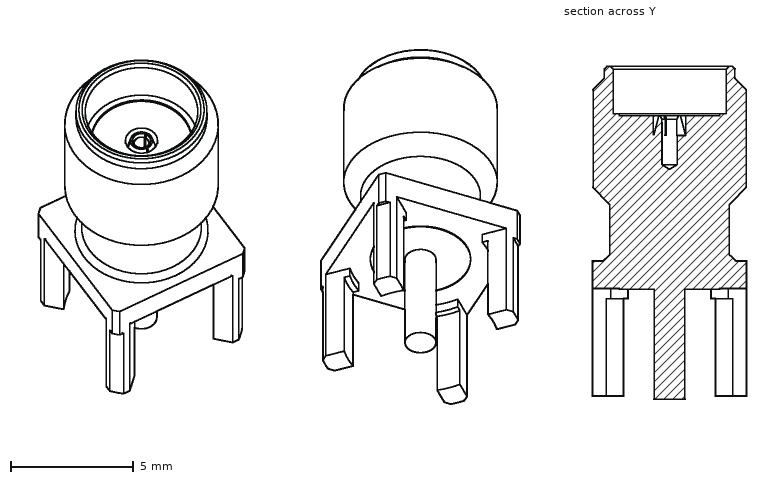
import cadquery as cq

TOTAL_HEIGHT = 13.62
LEG_BOTTOM_Z = 0.13
LEG_STEP_Z = 4.12
DISC_BOTTOM_Z = 4.49
PLATE_BOTTOM_Z = 4.53
PLATE_TOP_Z = 5.66

PLATE_SIZE = 6.31
PLATE_CORNER_RADIUS = 4.305
LEG_OUTER_RADIUS = 4.183
LEG_ROOT_INNER_RADIUS = 2.94
LEG_INNER_RADIUS = 3.19
LEG_WIDTH = 1.0

FOOT_RADIUS = 2.72
FOOT_HEIGHT = 0.26
NECK_RADIUS = 2.45
SLEEVE_RADIUS = 3.14
SLEEVE_CONE_BOTTOM_Z = 7.95
SLEEVE_BOTTOM_Z = 8.66
SLEEVE_TOP_Z = 12.66
LIP_RADIUS = 2.68
LIP_BOTTOM_Z = SLEEVE_TOP_Z + SLEEVE_RADIUS - LIP_RADIUS
LIP_CHAMFER = 0.12

BORE_RADIUS = 2.3
BORE_CHAMFER = 0.13
SEAT_Z = TOTAL_HEIGHT - 1.94
DIELECTRIC_RADIUS = 2.05
DIELECTRIC_Z = TOTAL_HEIGHT - 2.03

PIN_RADIUS = 0.635
CONTACT_RADIUS = 0.655
TIP_RADIUS = 0.45
TIP_TAPER_HEIGHT = 0.8
CONTACT_BORE_RADIUS = 0.30
CONTACT_BORE_DEPTH = 2.0
CONTACT_MOUTH_RADIUS = 0.37
CONTACT_MOUTH_DEPTH = 0.15
DRILL_TIP_HEIGHT = 0.18
SLOT_WIDTH = 0.06
SLOT_COUNT = 3


def cylinder(radius, bottom_z, top_z):
    return cq.Workplane("XY").workplane(offset=bottom_z).circle(radius).extrude(top_z - bottom_z)


def box(length, width, bottom_z, top_z):
    return cq.Workplane("XY").workplane(offset=bottom_z).rect(length, width).extrude(top_z - bottom_z)


def revolve_profile(points):
    """Turn a closed (radius, height) outline about the Z axis."""
    return cq.Workplane("XZ").polyline(points).close().revolve(360, (0, 0, 0), (0, 1, 0))


def make_base():
    """Square plate with corners turned round, standing on four diagonal legs."""
    plate = box(PLATE_SIZE, PLATE_SIZE, PLATE_BOTTOM_Z, PLATE_TOP_Z)
    roots = cylinder(PLATE_CORNER_RADIUS, LEG_STEP_Z, PLATE_BOTTOM_Z).cut(
        cylinder(LEG_ROOT_INNER_RADIUS, LEG_STEP_Z, PLATE_BOTTOM_Z)
    )
    shanks = cylinder(LEG_OUTER_RADIUS, LEG_BOTTOM_Z, LEG_STEP_Z).cut(
        cylinder(LEG_INNER_RADIUS, LEG_BOTTOM_Z, LEG_STEP_Z)
    )
    diagonal_length = 2 * PLATE_SIZE
    bar = box(diagonal_length, LEG_WIDTH, LEG_BOTTOM_Z, PLATE_BOTTOM_Z)
    diagonals = bar.rotate((0, 0, 0), (0, 0, 1), 45).union(bar.rotate((0, 0, 0), (0, 0, 1), -45))
    square = box(PLATE_SIZE, PLATE_SIZE, LEG_BOTTOM_Z, PLATE_BOTTOM_Z)
    legs = roots.union(shanks).intersect(diagonals).intersect(square)
    plate = plate.intersect(cylinder(PLATE_CORNER_RADIUS, PLATE_BOTTOM_Z, PLATE_TOP_Z))
    return plate.union(legs)


def make_barrel():
    """Turned barrel with its socket, closed by the dielectric face."""
    return revolve_profile([
        (0, PLATE_TOP_Z),
        (FOOT_RADIUS, PLATE_TOP_Z),
        (NECK_RADIUS, PLATE_TOP_Z + FOOT_HEIGHT),
        (NECK_RADIUS, SLEEVE_CONE_BOTTOM_Z),
        (SLEEVE_RADIUS, SLEEVE_BOTTOM_Z),
        (SLEEVE_RADIUS, SLEEVE_TOP_Z),
        (LIP_RADIUS, LIP_BOTTOM_Z),
        (LIP_RADIUS, TOTAL_HEIGHT - LIP_CHAMFER),
        (LIP_RADIUS - LIP_CHAMFER, TOTAL_HEIGHT),
        (BORE_RADIUS + BORE_CHAMFER, TOTAL_HEIGHT),
        (BORE_RADIUS, TOTAL_HEIGHT - BORE_CHAMFER),
        (BORE_RADIUS, SEAT_Z),
        (DIELECTRIC_RADIUS, SEAT_Z),
        (DIELECTRIC_RADIUS, DIELECTRIC_Z),
        (0, DIELECTRIC_Z),
    ])


def make_tip_clearance():
    """Space between the tapered contact tip and the hole in the dielectric."""
    return revolve_profile([
        (TIP_RADIUS, DIELECTRIC_Z),
        (CONTACT_RADIUS, DIELECTRIC_Z),
        (CONTACT_RADIUS, DIELECTRIC_Z - TIP_TAPER_HEIGHT),
    ])


def make_contact_bore():
    """Contact hole with a countersunk mouth and a conical drilled end."""
    bore_bottom_z = DIELECTRIC_Z - CONTACT_BORE_DEPTH
    return revolve_profile([
        (0, DIELECTRIC_Z),
        (CONTACT_MOUTH_RADIUS, DIELECTRIC_Z),
        (CONTACT_BORE_RADIUS, DIELECTRIC_Z - CONTACT_MOUTH_DEPTH),
        (CONTACT_BORE_RADIUS, bore_bottom_z),
        (0, bore_bottom_z - DRILL_TIP_HEIGHT),
    ])


def make_contact_slots():
    """Radial slots, evenly spaced, that split the contact tip into fingers."""
    bottom_z = DIELECTRIC_Z - TIP_TAPER_HEIGHT
    slot = box(2 * CONTACT_RADIUS, SLOT_WIDTH, bottom_z, DIELECTRIC_Z).translate((CONTACT_RADIUS, 0, 0))
    slots = slot
    for index in range(1, SLOT_COUNT):
        slots = slots.union(slot.rotate((0, 0, 0), (0, 0, 1), index * 360 / SLOT_COUNT))
    return slots.intersect(cylinder(CONTACT_RADIUS, bottom_z, DIELECTRIC_Z))


disc = cylinder(DIELECTRIC_RADIUS, DISC_BOTTOM_Z, PLATE_BOTTOM_Z)
pin = cylinder(PIN_RADIUS, 0, PLATE_BOTTOM_Z)

result = (
    make_base()
    .union(make_barrel())
    .union(disc)
    .union(pin)
    .cut(make_tip_clearance())
    .cut(make_contact_bore())
    .cut(make_contact_slots())
)